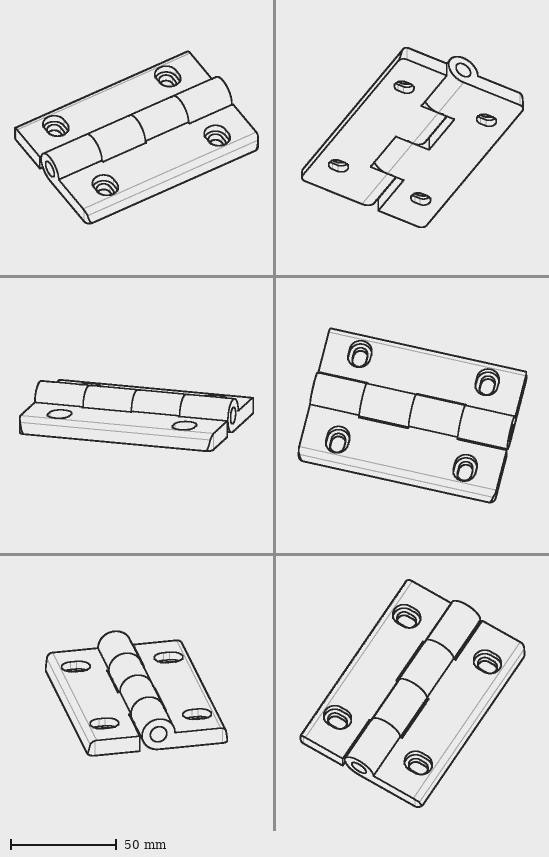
import cadquery as cq
import math

LENGTH = 96.0
WIDTH = 68.0
BARREL_DIAMETER = 16.0
PIN_DIAMETER = 8.0

KNUCKLE_COUNT = 4
KNUCKLE_GAP = 1.1

EDGE_DRAFT_ANGLE = 10.0
EDGE_ROUND_RADIUS = 3.0
CORNER_RADIUS = 3.0

SLOT_SPACING_X = 45.0
SLOT_SPACING_Y = 62.0
SLOT_STRAIGHT = 3.0
SLOT_WIDTH = 6.7
RECESS_WIDTH = 10.7
RECESS_DEPTH = 4.0

BARREL_RADIUS = BARREL_DIAMETER / 2
BARREL_AXIS_Z = BARREL_RADIUS
LEAF_THICKNESS = BARREL_RADIUS
KNUCKLE_LENGTH = LENGTH / KNUCKLE_COUNT
LEAF_INNER_X = BARREL_RADIUS + KNUCKLE_GAP
LEAF_OUTER_X = WIDTH / 2


def end_plane(y_end):
    """Workplane in the XZ plane at y_end; extrusions from it run toward -Y."""
    return cq.Workplane("XZ", origin=(0, y_end, 0))


def make_plate():
    """Flat plate of the +X leaf, with drafted and rounded outer edge."""
    draft_offset = LEAF_THICKNESS * math.tan(math.radians(EDGE_DRAFT_ANGLE))
    plate = (
        end_plane(LENGTH / 2)
        .moveTo(LEAF_INNER_X, 0)
        .lineTo(LEAF_OUTER_X, 0)
        .lineTo(LEAF_OUTER_X - draft_offset, LEAF_THICKNESS)
        .lineTo(LEAF_INNER_X, LEAF_THICKNESS)
        .close()
        .extrude(LENGTH)
    )
    plate = plate.faces(">Z").edges(">X").fillet(EDGE_ROUND_RADIUS)
    corner_envelope = (
        cq.Workplane("XY")
        .rect(WIDTH, LENGTH)
        .extrude(LEAF_THICKNESS)
        .edges("|Z")
        .fillet(CORNER_RADIUS)
    )
    return plate.intersect(corner_envelope)


def make_knuckle(y_end):
    """Barrel section ending at y_end, with the web that joins it to the +X plate."""
    plane = end_plane(y_end)
    barrel = plane.center(0, BARREL_AXIS_Z).circle(BARREL_RADIUS).extrude(KNUCKLE_LENGTH)
    web = plane.rect(LEAF_INNER_X, LEAF_THICKNESS, centered=False).extrude(KNUCKLE_LENGTH)
    return barrel.union(web)


def make_pin():
    """Hinge pin, flush with both ends of the barrel."""
    return (
        end_plane(LENGTH / 2)
        .center(0, BARREL_AXIS_Z)
        .circle(PIN_DIAMETER / 2)
        .extrude(LENGTH)
    )


def cut_screw_slots(leaf):
    """Cut the two recessed screw slots of the +X leaf."""
    centres = [(SLOT_SPACING_X / 2, side * SLOT_SPACING_Y / 2) for side in (-1, 1)]
    slots = (
        cq.Workplane("XY")
        .pushPoints(centres)
        .slot2D(SLOT_STRAIGHT + SLOT_WIDTH, SLOT_WIDTH)
        .extrude(LEAF_THICKNESS)
    )
    recesses = (
        cq.Workplane("XY", origin=(0, 0, LEAF_THICKNESS - RECESS_DEPTH))
        .pushPoints(centres)
        .slot2D(SLOT_STRAIGHT + RECESS_WIDTH, RECESS_WIDTH)
        .extrude(RECESS_DEPTH)
    )
    return leaf.cut(slots).cut(recesses)


def make_leaf():
    """+X leaf: plate, every second knuckle from the -Y end, pin bore and screw slots."""
    leaf = make_plate()
    for index in range(0, KNUCKLE_COUNT, 2):
        leaf = leaf.union(make_knuckle((index + 1) * KNUCKLE_LENGTH - LENGTH / 2))
    return cut_screw_slots(leaf.cut(make_pin()))


leaves = [make_leaf().rotate((0, 0, 0), (0, 0, 1), turn) for turn in (0, 180)]
pin = make_pin()

result = cq.Compound.makeCompound([*(leaf.val() for leaf in leaves), pin.val()])